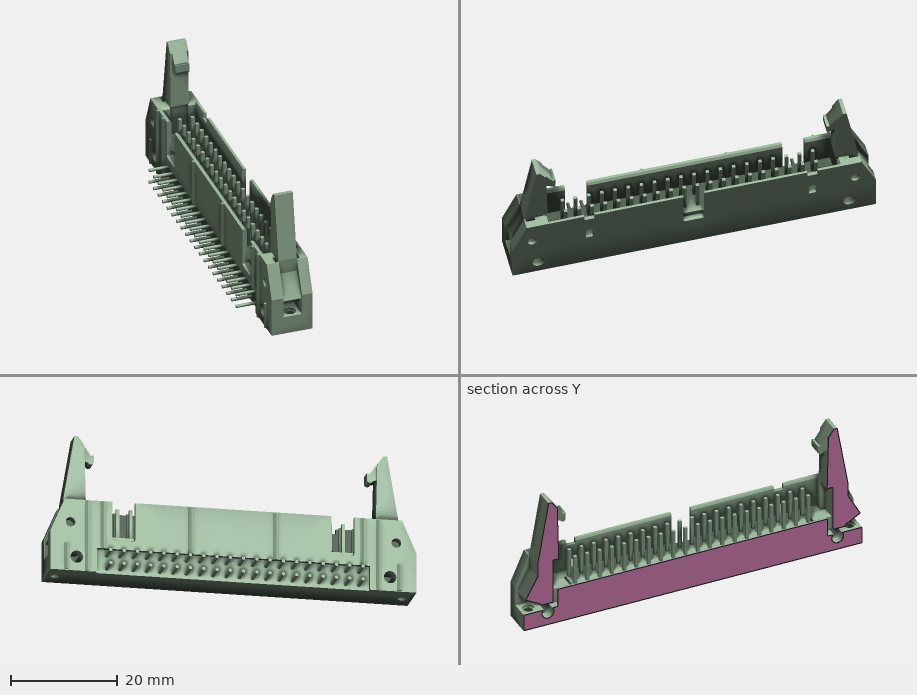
import cadquery as cq

LENGTH = 70.1
WIDTH = 8.1
HEIGHT = 14.0
SHOULDER_HEIGHT = 7.7
SHOULDER_RUN = 2.7

CENTER_Y = 0.15
FLOOR_Z = 7.4
CAVITY_LENGTH = 55.95
CAVITY_BACK_Y = 3.35
CAVITY_FRONT_Y = -3.15
RIM_CHAMFER = 0.4
RIM_BACK_Y = 3.6
RIM_FRONT_Y = -3.6

SLOT_BOTTOM_Z = 6.4
SLOT_RADIUS = 0.5
FRONT_SLOT_X = 20.95
FRONT_SLOT_WIDTH = 4.35
FRONT_SLOT_END_Y = -2.7
KEY_SLOT_WIDTH = 4.1
KEY_SLOT_END_Y = 2.95

NOTCH_CENTERS = (-22.85, 20.2)
NOTCH_WIDTH = 1.95
NOTCH_BOTTOM_Z = 13.0
WINDOW_RADIUS = 0.7
WINDOW_TOP_Z = 9.75

COLUMNS = 20
ROW_LENGTH = 48.3
PITCH = ROW_LENGTH / (COLUMNS - 1)
PIN_SIZE = 0.64
PIN_TOP_Z = 13.45
TAIL_END_Y = -7.3
FRONT_TAIL_Z = 3.5
TAIL_RECESS_LENGTH = 52.3
TAIL_RECESS_HEIGHT = 4.7
TAIL_RECESS_DEPTH = 0.8

LATCH_WIDTH = 3.65
LATCH_TOP_Z = 27.3
HOOK_WIDTH = 2.8
FOOT_BOTTOM_Z = 4.7
BAY_FLOOR_Z = 3.6
FOOT_POCKET_WIDTH = 2.95
FOOT_POCKET_TOP_X = 24.75
FOOT_POCKET_BOTTOM_X = 26.35
PIVOT_X = 31.2
PIVOT_Z = 9.5
PIVOT_RADIUS = 0.9
TRUNNION_LENGTH = 0.6
CROSS_HOLE_X = 30.0
CROSS_HOLE_Z = 2.7
CROSS_HOLE_RADIUS = 1.2
BAY_HOLE_X = 33.2
BAY_HOLE_RADIUS = 0.9
BAY_COUNTERBORE_RADIUS = 1.2
BAY_COUNTERBORE_DEPTH = 0.4

RIB_WIDTH = 1.1
RIB_HEIGHT = 0.4
RIB_END_GAP = 0.15
TALL_RIB_X = 27.9
SHORT_RIB_X = 31.9
SHORT_RIB_TOP_Z = 5.3
WALL_RIB_XS = (8.1, 24.9)

HALF_LENGTH = LENGTH / 2
BACK_Y = WIDTH / 2
FRONT_Y = -WIDTH / 2
CAVITY_END_X = CAVITY_LENGTH / 2


def block(x_range, y_range, z_range):
    """Box spanning the given (low, high) ranges."""
    low, high = zip(x_range, y_range, z_range)
    size = [b - a for a, b in zip(low, high)]
    return cq.Workplane("XY").box(*size, centered=False).translate(low)


def centered_range(center, size):
    return (center - size / 2, center + size / 2)


def extrude_y(profile, y_range):
    """Extrude a closed XZ outline between two Y positions."""
    depth = y_range[1] - y_range[0]
    return profile.extrude(-depth).translate((0, y_range[0], 0))


def polygon_xz(points):
    return cq.Workplane("XZ").polyline(points).close()


def cylinder_y(x, z, radius, y_range):
    return extrude_y(cq.Workplane("XZ").center(x, z).circle(radius), y_range)


def both_ends(shape):
    """A left-end shape together with its mirror image at the right end."""
    return shape.union(shape.mirror("YZ"))


def housing_blank():
    top_x = HALF_LENGTH - SHOULDER_RUN
    outline = polygon_xz([
        (-HALF_LENGTH, 0),
        (HALF_LENGTH, 0),
        (HALF_LENGTH, SHOULDER_HEIGHT),
        (top_x, HEIGHT),
        (-top_x, HEIGHT),
        (-HALF_LENGTH, SHOULDER_HEIGHT),
    ])
    return extrude_y(outline, (FRONT_Y, BACK_Y))


def cavity():
    """Mating cavity, flared outward at the rim."""
    pocket = block(
        (-CAVITY_END_X, CAVITY_END_X), (CAVITY_FRONT_Y, CAVITY_BACK_Y), (FLOOR_Z, HEIGHT)
    )
    rim_y = (RIM_BACK_Y + RIM_FRONT_Y) / 2
    pocket_y = (CAVITY_BACK_Y + CAVITY_FRONT_Y) / 2
    flare = (
        cq.Workplane("XY", origin=(0, pocket_y, HEIGHT - RIM_CHAMFER))
        .rect(CAVITY_LENGTH, CAVITY_BACK_Y - CAVITY_FRONT_Y)
        .workplane(offset=RIM_CHAMFER)
        .center(0, rim_y - pocket_y)
        .rect(CAVITY_LENGTH + 2 * RIM_CHAMFER, RIM_BACK_Y - RIM_FRONT_Y)
        .loft(combine=True)
    )
    return pocket.union(flare)


def wall_slot(center_x, width, y_range):
    """Open-topped slot with rounded bottom corners."""
    slot = block(centered_range(center_x, width), y_range, (SLOT_BOTTOM_Z, HEIGHT))
    return slot.edges("|Y and <Z").fillet(SLOT_RADIUS)


def rear_notch(center_x):
    """Shallow notch in the rear wall and the arched window below it."""
    wall = (CAVITY_BACK_Y, BACK_Y)
    arch_z = WINDOW_TOP_Z - WINDOW_RADIUS
    notch = block(centered_range(center_x, NOTCH_WIDTH), wall, (NOTCH_BOTTOM_Z, HEIGHT))
    window = block(centered_range(center_x, 2 * WINDOW_RADIUS), wall, (FLOOR_Z, arch_z))
    arch = cylinder_y(center_x, arch_z, WINDOW_RADIUS, wall)
    return notch.union(window).union(arch)


def bay_hole():
    """Counterbored vertical hole through the floor of the left latch bay."""
    hole = cq.Workplane("XY").circle(BAY_HOLE_RADIUS).extrude(BAY_FLOOR_Z)
    counterbore = (
        cq.Workplane("XY", origin=(0, 0, BAY_FLOOR_Z - BAY_COUNTERBORE_DEPTH))
        .circle(BAY_COUNTERBORE_RADIUS)
        .extrude(BAY_COUNTERBORE_DEPTH)
    )
    return hole.union(counterbore).translate((-BAY_HOLE_X, CENTER_Y, 0))


def latch_bay():
    """Left-end opening for the latch: bay, foot pocket, trunnion grooves and holes."""
    full_width = (FRONT_Y, BACK_Y)
    bay = block(
        (-HALF_LENGTH, -CAVITY_END_X), centered_range(CENTER_Y, LATCH_WIDTH), (BAY_FLOOR_Z, HEIGHT)
    )
    foot_pocket = extrude_y(
        polygon_xz([
            (-CAVITY_END_X, BAY_FLOOR_Z),
            (-FOOT_POCKET_BOTTOM_X, BAY_FLOOR_Z),
            (-FOOT_POCKET_TOP_X, FLOOR_Z),
            (-CAVITY_END_X, FLOOR_Z),
        ]),
        centered_range(CENTER_Y, FOOT_POCKET_WIDTH),
    )
    grooves = block(
        centered_range(-PIVOT_X, 2 * PIVOT_RADIUS),
        centered_range(CENTER_Y, LATCH_WIDTH + 2 * TRUNNION_LENGTH),
        (PIVOT_Z, HEIGHT),
    )
    pivot_hole = cylinder_y(-PIVOT_X, PIVOT_Z, PIVOT_RADIUS, full_width)
    cross_hole = cylinder_y(-CROSS_HOLE_X, CROSS_HOLE_Z, CROSS_HOLE_RADIUS, full_width)
    opening = bay.union(foot_pocket).union(grooves).union(pivot_hole).union(cross_hole)
    return opening.union(bay_hole())


def latch():
    """Left-end ejector latch: lever, hook, foot and pivot trunnions."""
    tip_outer_x, tip_x = -29.9, -29.2
    nose_x, nose_z = -26.8, 23.9
    ramp_slope = (LATCH_TOP_Z - nose_z) / (nose_x - tip_x)
    face_x = -28.05
    face_top_z = LATCH_TOP_Z - ramp_slope * (face_x - tip_x)
    hook_root_z = 22.6
    hook_end_x = -26.15
    hook_step_z = 23.7

    lever_root_x = -27.75
    overhang_z = 14.15
    stem_x = -28.95
    kink_x = -32.2
    kink_top_z, kink_bottom_z = 14.2, 11.4
    heel_x, heel_z = -34.7, 6.8
    undercut_x, undercut_z = -32.4, 5.5
    foot_start_x = -31.5
    foot_end_x = -25.3
    foot_end_z = 6.45

    lever = extrude_y(
        cq.Workplane("XZ")
        .moveTo(tip_outer_x, LATCH_TOP_Z)
        .lineTo(tip_x, LATCH_TOP_Z)
        .lineTo(face_x, face_top_z)
        .lineTo(lever_root_x, overhang_z)
        .lineTo(stem_x, overhang_z)
        .lineTo(stem_x, FOOT_BOTTOM_Z)
        .lineTo(foot_start_x, FOOT_BOTTOM_Z)
        .threePointArc((-31.75, 5.1), (undercut_x, undercut_z))
        .lineTo(heel_x, heel_z)
        .lineTo(kink_x, kink_bottom_z)
        .lineTo(kink_x, kink_top_z)
        .close(),
        centered_range(CENTER_Y, LATCH_WIDTH),
    )
    hook = extrude_y(
        cq.Workplane("XZ")
        .moveTo(face_x, face_top_z)
        .lineTo(nose_x, nose_z)
        .lineTo(nose_x, hook_step_z)
        .lineTo(hook_end_x, nose_z)
        .lineTo(hook_end_x, 22.4)
        .threePointArc((-26.7, 22.0), (-27.3, 22.35))
        .lineTo(face_x, hook_root_z)
        .close(),
        centered_range(CENTER_Y, HOOK_WIDTH),
    )
    foot = extrude_y(
        polygon_xz([
            (stem_x, FOOT_BOTTOM_Z),
            (foot_end_x, foot_end_z),
            (foot_end_x, FLOOR_Z),
            (stem_x, FLOOR_Z),
        ]),
        centered_range(CENTER_Y, HOOK_WIDTH),
    )
    trunnions = cylinder_y(
        -PIVOT_X,
        PIVOT_Z,
        PIVOT_RADIUS,
        centered_range(CENTER_Y, LATCH_WIDTH + 2 * TRUNNION_LENGTH),
    )
    return lever.union(hook).union(foot).union(trunnions)


def rib(center_x, z_range):
    """Triangular rib standing on the front face."""
    left, right = centered_range(center_x, RIB_WIDTH)
    return (
        cq.Workplane("XY", origin=(0, 0, z_range[0]))
        .polyline([(left, FRONT_Y), (center_x, FRONT_Y - RIB_HEIGHT), (right, FRONT_Y)])
        .close()
        .extrude(z_range[1] - z_range[0])
    )


def pin(x, row_y, tail_z):
    """Right-angle pin: a square post and a round tail running to -Y."""
    half = PIN_SIZE / 2
    x_range = centered_range(x, PIN_SIZE)
    post = block(x_range, (row_y - half, row_y + half), (tail_z - half, PIN_TOP_Z))
    tail = cylinder_y(x, tail_z, half, (TAIL_END_Y, row_y + half))
    return post.union(tail)


housing = housing_blank().cut(cavity()).cut(both_ends(latch_bay()))
for slot_x in (-FRONT_SLOT_X, FRONT_SLOT_X):
    housing = housing.cut(wall_slot(slot_x, FRONT_SLOT_WIDTH, (FRONT_Y, FRONT_SLOT_END_Y)))
housing = housing.cut(wall_slot(0, KEY_SLOT_WIDTH, (KEY_SLOT_END_Y, BACK_Y)))
for notch_x in NOTCH_CENTERS:
    housing = housing.cut(rear_notch(notch_x))

tail_recess = block(
    centered_range(0, TAIL_RECESS_LENGTH),
    (FRONT_Y, FRONT_Y + TAIL_RECESS_DEPTH),
    (0, TAIL_RECESS_HEIGHT),
)
housing = housing.cut(tail_recess)

rib_top_z = HEIGHT - RIB_END_GAP
ribs = rib(-TALL_RIB_X, (RIB_END_GAP, rib_top_z))
ribs = ribs.union(rib(-SHORT_RIB_X, (RIB_END_GAP, SHORT_RIB_TOP_Z)))
for rib_x in WALL_RIB_XS:
    ribs = ribs.union(rib(-rib_x, (TAIL_RECESS_HEIGHT, rib_top_z)))

result = housing.union(both_ends(ribs)).union(both_ends(latch()))
for column in range(COLUMNS):
    pin_x = (column - (COLUMNS - 1) / 2) * PITCH
    result = result.union(pin(pin_x, CENTER_Y - PITCH / 2, FRONT_TAIL_Z))
    result = result.union(pin(pin_x, CENTER_Y + PITCH / 2, FRONT_TAIL_Z - PITCH))